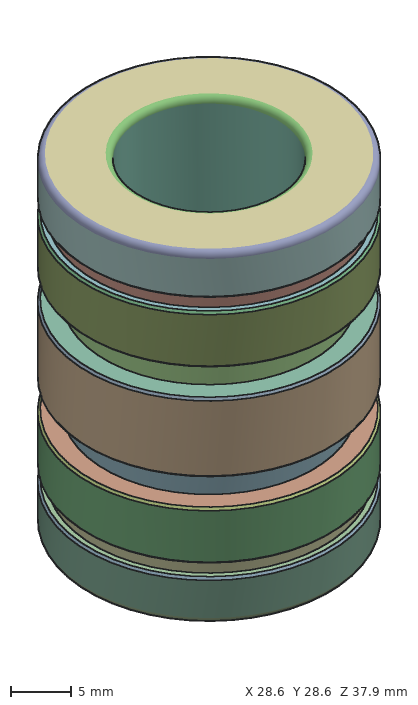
import cadquery as cq

length = 37.9
outer_diameter = 28.55
outer_radius = outer_diameter / 2
bore_radius = 8.0
end_fillet = 0.6

wide_groove_width = 3.1
wide_groove_radius = 12.25
wide_groove_offset = 5.6
narrow_groove_width = 1.4
narrow_groove_radius = 13.55
narrow_groove_offset = 13.57
groove_chamfer = 0.23

cutter_overrun = 0.38


def make_blank():
    """Plain tube centred on the origin, with rounded ends."""
    tube = cq.Workplane("XY").circle(outer_radius).circle(bore_radius).extrude(length / 2, both=True)
    return tube.faces("|Z").edges().fillet(end_fillet)


def make_groove_cutter(offset, width, floor_radius):
    """Ring that cuts a square groove with chamfered outer corners."""
    half_width = width / 2
    chamfer_start = outer_radius - groove_chamfer
    rim_radius = outer_radius + cutter_overrun
    half_rim = half_width + groove_chamfer + cutter_overrun
    profile = [
        (floor_radius, offset - half_width),
        (chamfer_start, offset - half_width),
        (rim_radius, offset - half_rim),
        (rim_radius, offset + half_rim),
        (chamfer_start, offset + half_width),
        (floor_radius, offset + half_width),
    ]
    return cq.Workplane("XZ").polyline(profile).close().revolve(360, (0, 0, 0), (0, 1, 0))


def make_sleeve():
    """Tube with a wide and a narrow groove on each half."""
    body = make_blank()
    for side in (-1, 1):
        body = body.cut(make_groove_cutter(side * wide_groove_offset, wide_groove_width, wide_groove_radius))
        body = body.cut(
            make_groove_cutter(side * narrow_groove_offset, narrow_groove_width, narrow_groove_radius)
        )
    return body


sleeve = make_sleeve()
result = cq.Compound.makeCompound([sleeve.val()])